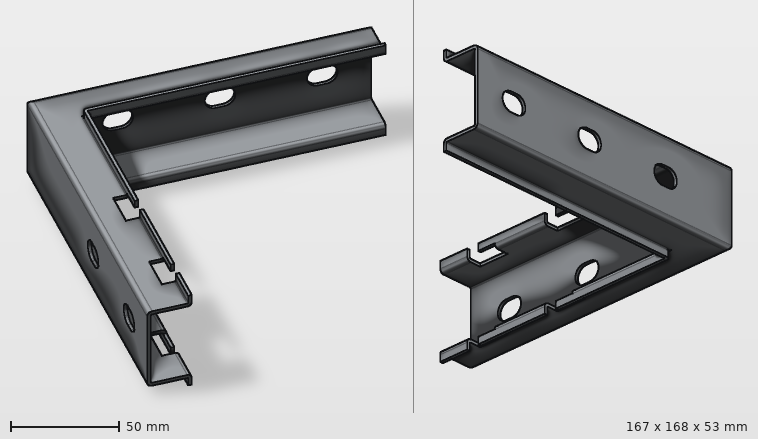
import cadquery as cq
import math

x_length = 167.0
y_length = 168.0
total_height = 53.0

sheet = 1.8
leg_width = 22.0
channel_height = 44.0
web_bend_radius = 2.5
lip_bend_radius = 0.5
lip_corner_radius = 2.0

half_height = total_height / 2
flange_top = channel_height / 2
lip_face = leg_width - sheet
lip_base = flange_top + lip_bend_radius

slot_length = 15.0
slot_height = 11.0
slot_pitch = 50.0
x_slot_end_offset = 25.0
y_slot_end_offset = 24.0
x_slot_count = 2
y_slot_count = 3

notch_end_offset = 17.5
notch_length = 17.8
notch_floor = 13.5
lip_gap = 7.0


def half_profile(plane):
    """Upper half of the channel section; local x runs inward from the web, local y up."""
    diagonal = math.sqrt(0.5)
    web_center = (web_bend_radius, flange_top - web_bend_radius)
    lip_center = (lip_face - lip_bend_radius, lip_base)
    web_inner_radius = web_bend_radius - sheet
    lip_outer_radius = lip_bend_radius + sheet

    def web_bend_middle(radius):
        return (web_center[0] - radius * diagonal, web_center[1] + radius * diagonal)

    def lip_bend_middle(radius):
        return (lip_center[0] + radius * diagonal, lip_center[1] - radius * diagonal)

    return (
        cq.Workplane(plane)
        .moveTo(0, 0)
        .lineTo(0, web_center[1])
        .threePointArc(web_bend_middle(web_bend_radius), (web_center[0], flange_top))
        .lineTo(lip_center[0], flange_top)
        .threePointArc(lip_bend_middle(lip_bend_radius), (lip_face, lip_base))
        .lineTo(lip_face, half_height)
        .lineTo(leg_width, half_height)
        .lineTo(leg_width, lip_base)
        .threePointArc(lip_bend_middle(lip_outer_radius), (lip_center[0], flange_top - sheet))
        .lineTo(web_center[0], flange_top - sheet)
        .threePointArc(web_bend_middle(web_inner_radius), (sheet, web_center[1]))
        .lineTo(sheet, 0)
        .close()
    )


def mitre_wedge(outline):
    """Full-height prism that trims a leg to the 45 degree mitre."""
    return cq.Workplane("XY").polyline(outline).close().extrude(half_height)


def upper_half():
    """Both mitred legs above the mid-plane."""
    x_plane = cq.Plane(origin=(0, 0, 0), xDir=(0, 1, 0), normal=(1, 0, 0))
    y_plane = cq.Plane(origin=(0, 0, 0), xDir=(1, 0, 0), normal=(0, -1, 0))
    mitre_end = (leg_width, leg_width)
    x_wedge = mitre_wedge([(0, 0), (x_length, 0), (x_length, leg_width), mitre_end])
    y_wedge = mitre_wedge([(0, 0), (0, y_length), (leg_width, y_length), mitre_end])
    x_leg = half_profile(x_plane).extrude(x_length).intersect(x_wedge)
    y_leg = half_profile(y_plane).extrude(-y_length).intersect(y_wedge)
    return x_leg.union(y_leg)


def corner_prism(offset, radius):
    """Area between a square corner on the mitre line and its rounding, over the lip height."""
    tangent = offset + radius
    middle = tangent - radius * math.sqrt(0.5)
    return (
        cq.Workplane("XY", origin=(0, 0, lip_base))
        .moveTo(offset, offset)
        .lineTo(tangent, offset)
        .threePointArc((middle, middle), (offset, tangent))
        .close()
        .extrude(half_height - lip_base)
    )


def round_lip_corner(body):
    """Round both faces of the lip concentrically where the legs meet."""
    return (
        body.cut(corner_prism(lip_face, lip_corner_radius))
        .union(corner_prism(leg_width, lip_corner_radius - sheet))
    )


def cut_hook_notches(body):
    """Notch the flange below the lip and open the lip at the side nearer the free end."""
    notch_depth = leg_width - notch_floor
    for index in range(x_slot_count):
        notch_right = x_length - notch_end_offset - index * slot_pitch
        flange_notch = cq.Workplane("XY").box(
            notch_length, notch_depth, lip_base, centered=False
        ).translate((notch_right - notch_length, notch_floor, 0))
        lip_opening = cq.Workplane("XY").box(
            lip_gap, notch_depth, half_height, centered=False
        ).translate((notch_right - lip_gap, notch_floor, 0))
        body = body.cut(flange_notch).cut(lip_opening)
    return body


def web_slots(plane, end_slot, count):
    """Slot cutters through a web, spaced from the end slot back toward the corner."""
    centers = [(end_slot - index * slot_pitch, 0) for index in range(count)]
    return (
        cq.Workplane(plane)
        .pushPoints(centers)
        .slot2D(slot_length, slot_height)
        .extrude(sheet, both=True)
    )


half = cut_hook_notches(round_lip_corner(upper_half()))
bracket = half.union(half.mirror("XY")).clean()
x_slots = web_slots("XZ", x_length - x_slot_end_offset, x_slot_count)
y_slots = web_slots("YZ", y_length - y_slot_end_offset, y_slot_count)
result = bracket.cut(x_slots).cut(y_slots)